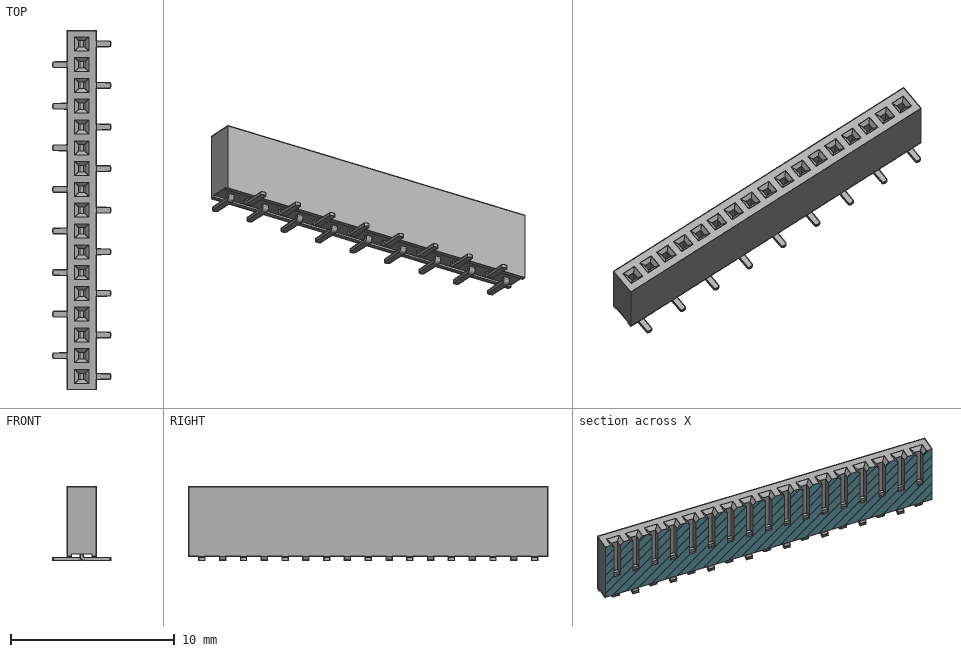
import cadquery as cq

pin_count = 17
pitch = 1.27

body_length = 21.95
body_width = 1.8
body_bottom = 0.26
total_height = 4.52

channel_width = 1.25
channel_height = 0.13

funnel_mouth = 0.85
socket_side = 0.4
socket_depth = 2.63

lead_span = 3.58
lead_width = 0.4
lead_thickness = 0.2
bend_inner_radius = 0.07
tip_width = 0.35
tip_bulge = 0.07
stem_rise = 0.2

funnel_depth = (funnel_mouth - socket_side) / 2
socket_floor = total_height - socket_depth
stem_top = socket_floor + stem_rise
half_thickness = lead_thickness / 2
bend_outer_radius = bend_inner_radius + lead_thickness


def make_body():
    """Housing block with a shallow channel along its underside, leaving two standing rails."""
    block = cq.Workplane("XY").workplane(offset=body_bottom).box(
        body_width, body_length, total_height - body_bottom, centered=(True, True, False)
    )
    channel = cq.Workplane("XY").workplane(offset=body_bottom).box(
        channel_width, body_length, channel_height, centered=(True, True, False)
    )
    return block.cut(channel)


def make_socket(y):
    """Square contact hole with a tapered lead-in funnel at the top face."""
    hole = (
        cq.Workplane("XY", origin=(0, y, socket_floor))
        .rect(socket_side, socket_side)
        .extrude(socket_depth)
    )
    funnel = (
        cq.Workplane("XY", origin=(0, y, total_height - funnel_depth))
        .rect(socket_side, socket_side)
        .workplane(offset=funnel_depth)
        .rect(funnel_mouth, funnel_mouth)
        .loft(ruled=True)
    )
    return hole.union(funnel)


def make_contact(y, side):
    """L-shaped contact: a stem up into the socket and a foot reaching out to the given X side."""
    inner_x = side * half_thickness
    outer_x = -inner_x
    foot_start_x = inner_x + side * bend_inner_radius
    tip_x = side * lead_span / 2
    shoulder_x = tip_x - side * tip_bulge
    upright = (
        cq.Workplane("XZ", origin=(0, y, 0))
        .moveTo(outer_x, stem_top)
        .lineTo(outer_x, bend_outer_radius)
        .radiusArc((foot_start_x, 0), -side * bend_outer_radius)
        .lineTo(foot_start_x, lead_thickness)
        .radiusArc((inner_x, bend_outer_radius), side * bend_inner_radius)
        .lineTo(inner_x, stem_top)
        .close()
        .extrude(lead_width / 2, both=True)
    )
    foot = (
        cq.Workplane("XY", origin=(0, y, 0))
        .moveTo(foot_start_x, -lead_width / 2)
        .lineTo(shoulder_x, -tip_width / 2)
        .threePointArc((tip_x, 0), (shoulder_x, tip_width / 2))
        .lineTo(foot_start_x, lead_width / 2)
        .close()
        .extrude(lead_thickness)
    )
    return upright.union(foot)


result = make_body()
for index in range(pin_count):
    pin_y = (index - (pin_count - 1) / 2) * pitch
    pin_side = 1 if index % 2 == 0 else -1
    result = result.cut(make_socket(pin_y)).union(make_contact(pin_y, pin_side))